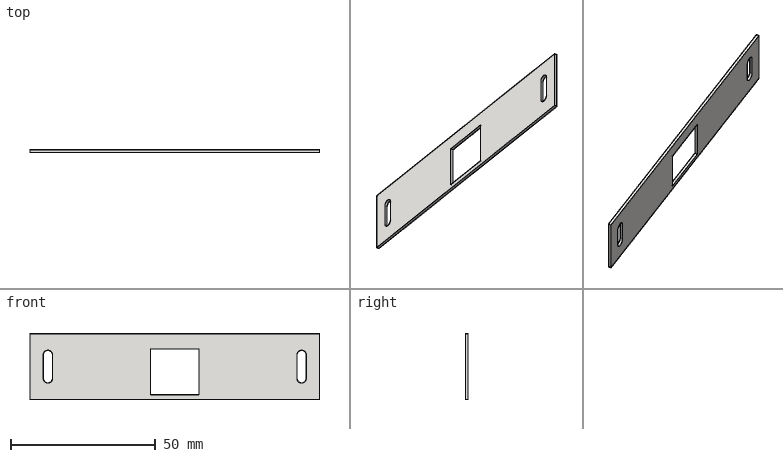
import cadquery as cq

plate_length = 100.0
plate_thickness = 1.0
plate_height = 22.77

window_width = 16.7
window_height = 15.7
window_bottom_margin = 1.7
window_center_z = -plate_height / 2 + window_bottom_margin + window_height / 2

slot_width = 3.1
slot_length = 11.2
slot_spacing = 87.5


def make_plate():
    return cq.Workplane("XY").box(plate_length, plate_thickness, plate_height)


def cut_window(body):
    window = (
        cq.Workplane("XY")
        .box(window_width, plate_thickness, window_height)
        .translate((0, 0, window_center_z))
    )
    return body.cut(window)


def cut_mounting_slots(body):
    slots = (
        cq.Workplane("XZ")
        .pushPoints([(-slot_spacing / 2, 0), (slot_spacing / 2, 0)])
        .slot2D(slot_length, slot_width, angle=90)
        .extrude(plate_thickness / 2, both=True)
    )
    return body.cut(slots)


result = cut_mounting_slots(cut_window(make_plate()))